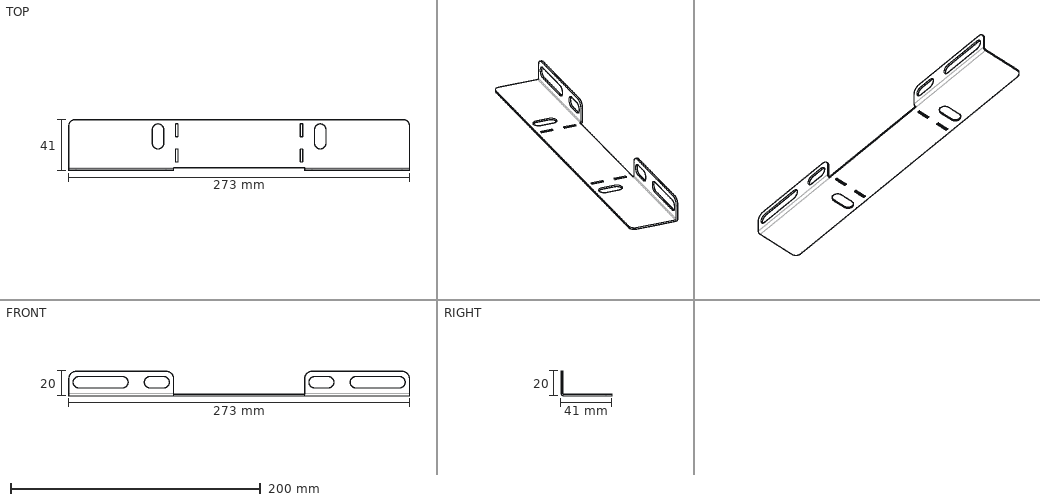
import cadquery as cq

length = 273.0
depth = 41.0
height = 20.0
thickness = 1.5
bend_radius = 2.2
plate_corner_radius = 5.0

flange_length = 84.0
flange_corner_radius = 6.0

slot_width = 9.0
edge_margin = 3.5
top_margin = 4.5
short_slot_length = 20.0
long_slot_length = 44.0
flange_slot_z = height - top_margin - slot_width / 2
long_slot_inset = edge_margin + long_slot_length / 2
short_slot_inset = flange_length - edge_margin - short_slot_length / 2

plate_slot_inset = 71.5
slit_inset = 86.5
slit_width = 2.0
slit_length = 10.0
slit_pitch = 20.2

front = -depth / 2
back = depth / 2
plate_slot_y = back - edge_margin - short_slot_length / 2
first_slit_y = back - edge_margin - slit_length / 2


def make_plate():
    """Flat base, ending in front where the fold begins."""
    flat_depth = depth - bend_radius
    plate = cq.Workplane("XY").box(length, flat_depth, thickness, centered=(True, True, False))
    plate = plate.translate((0, back - flat_depth / 2, 0))
    return plate.edges("|Z and >Y").fillet(plate_corner_radius)


def make_flange(side):
    """Upright flange with its fold, its outer end flush with the plate end."""
    start_x = -length / 2 if side < 0 else length / 2 - flange_length
    inner_radius = bend_radius - thickness
    diagonal = 0.5 ** 0.5
    fold_y = front + bend_radius
    profile = (
        cq.Workplane("YZ", origin=(start_x, 0, 0))
        .moveTo(fold_y, 0)
        .threePointArc(
            (fold_y - bend_radius * diagonal, bend_radius * (1 - diagonal)),
            (front, bend_radius),
        )
        .lineTo(front, height)
        .lineTo(front + thickness, height)
        .lineTo(front + thickness, bend_radius)
        .threePointArc(
            (fold_y - inner_radius * diagonal, bend_radius - inner_radius * diagonal),
            (fold_y, thickness),
        )
        .close()
    )
    flange = profile.extrude(flange_length)
    return flange.edges("|Y and >Z").fillet(flange_corner_radius)


def flange_slot(x, slot_length):
    """Horizontal obround cutter through a flange."""
    plane = cq.Workplane("XZ", origin=(x, front, flange_slot_z))
    return plane.slot2D(slot_length, slot_width).extrude(thickness, both=True)


def plate_openings(side):
    """Obround and two narrow slits near one end of the plate."""
    slot_x = side * (length / 2 - plate_slot_inset)
    slit_x = side * (length / 2 - slit_inset)
    cutter = (
        cq.Workplane("XY", origin=(slot_x, plate_slot_y, 0))
        .slot2D(short_slot_length, slot_width, 90)
        .extrude(thickness)
    )
    slits = (
        cq.Workplane("XY")
        .pushPoints([(slit_x, first_slit_y), (slit_x, first_slit_y - slit_pitch)])
        .rect(slit_width, slit_length)
        .extrude(thickness)
    )
    return cutter.add(slits).combine()


result = make_plate()
for side in (-1, 1):
    result = result.union(make_flange(side))
    result = result.cut(flange_slot(side * (length / 2 - long_slot_inset), long_slot_length))
    result = result.cut(flange_slot(side * (length / 2 - short_slot_inset), short_slot_length))
    result = result.cut(plate_openings(side))